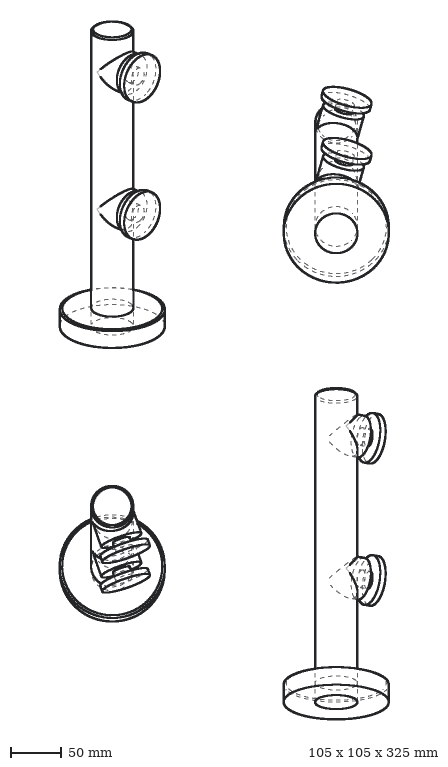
import cadquery as cq

total_height = 325.0
base_diameter = 105.0
post_diameter = 42.2

base_wall_height = 18.5
rim_chamfer_width = 2.5
rim_chamfer_height = 1.0
cone_rise = 0.5

post_chamfer = 2.0

arm_heights = [135.0, 285.0]
stub_end = 28.0
neck_diameter = 18.0
head_start = 36.5
head_rim_thickness = 6.2
head_diameter = 50.5
dome_height = 3.2

base_radius = base_diameter / 2
post_radius = post_diameter / 2
neck_radius = neck_diameter / 2
head_radius = head_diameter / 2


def make_base_cover():
    """Disc with a bore through which the post passes to the floor."""
    rim_top = base_wall_height + rim_chamfer_height
    profile = (
        cq.Workplane("XZ")
        .moveTo(post_radius, 0)
        .lineTo(base_radius, 0)
        .lineTo(base_radius, base_wall_height)
        .lineTo(base_radius - rim_chamfer_width, rim_top)
        .lineTo(post_radius, rim_top + cone_rise)
        .close()
    )
    return profile.revolve(360, (0, 0, 0), (0, 1, 0))


def make_arm(height):
    """Stepped round arm, turned about a horizontal axis that starts on the post axis."""
    rim_end = head_start + head_rim_thickness
    dome_tip = rim_end + dome_height
    sphere_radius = (head_radius**2 + dome_height**2) / (2 * dome_height)
    mid_radius = head_radius / 2
    mid_x = dome_tip - sphere_radius + (sphere_radius**2 - mid_radius**2) ** 0.5
    profile = (
        cq.Workplane("XZ")
        .lineTo(0, post_radius)
        .lineTo(stub_end, post_radius)
        .lineTo(stub_end, neck_radius)
        .lineTo(head_start, neck_radius)
        .lineTo(head_start, head_radius)
        .lineTo(rim_end, head_radius)
        .threePointArc((mid_x, mid_radius), (dome_tip, 0))
        .close()
    )
    return profile.revolve(360, (0, 0, 0), (1, 0, 0)).translate((0, 0, height))


def make_post():
    """Round post with a chamfered top and its arms, as one solid."""
    post = cq.Workplane("XY").circle(post_radius).extrude(total_height)
    post = post.faces(">Z").edges().chamfer(post_chamfer)
    for height in arm_heights:
        post = post.union(make_arm(height))
    return post


base_cover = make_base_cover()
post = make_post()

result = cq.Compound.makeCompound([base_cover.val(), *post.solids().vals()])